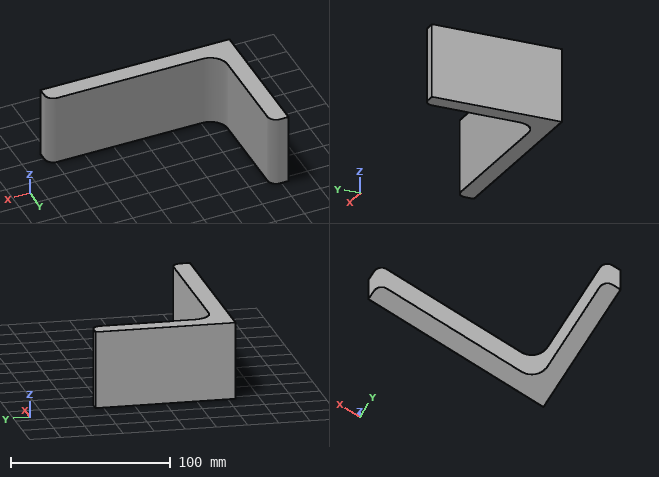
import cadquery as cq

long_leg = 130.0
short_leg = 90.0
thickness = 12.0
length = 50.0
root_radius = 12.0
toe_radius = thickness / 2


def angle_section():
    """L-shaped outline with the outer heel corner at the origin."""
    return (
        cq.Workplane("XY")
        .moveTo(0, 0)
        .lineTo(long_leg, 0)
        .lineTo(long_leg, thickness)
        .lineTo(thickness, thickness)
        .lineTo(thickness, short_leg)
        .lineTo(0, short_leg)
        .close()
    )


def vertical_edge_at(x, y):
    """Selector for the full-length edge standing at (x, y)."""
    return cq.selectors.NearestToPointSelector((x, y, length / 2))


def round_corners(body):
    """Round the inner root, then the inner corner of each toe."""
    body = body.edges(vertical_edge_at(thickness, thickness)).fillet(root_radius)
    for toe_x, toe_y in [(long_leg, thickness), (thickness, short_leg)]:
        body = body.edges(vertical_edge_at(toe_x, toe_y)).fillet(toe_radius)
    return body


result = round_corners(angle_section().extrude(length))